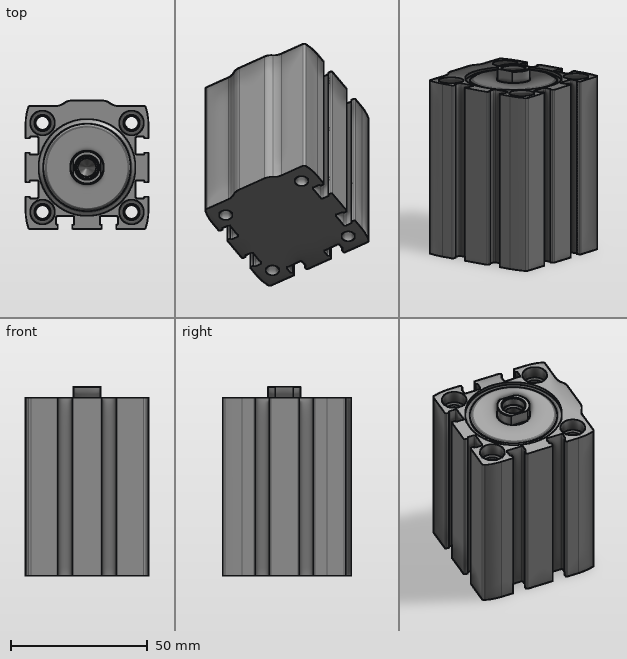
import cadquery as cq
import math

BODY_WIDTH = 45.0
BODY_HEIGHT = 65.0
HALF = BODY_WIDTH / 2
PART_HEIGHT = 69.0

SIDE_FLAT_HALF = 15.5
SIDE_ARC_RADIUS = 21.0
CORNER_FILLET = 1.0

BAND_RISE = 2.0
BAND_TOP_HALF = 5.4
BAND_CREST_RADIUS = 5.0
BAND_FOOT_RADIUS = 5.0

SLOT_SIDES = (-90, 0, 90)
SLOT_OFFSET = 8.0
SLOT_MOUTH = 5.2
SLOT_INNER_WIDTH = 6.5
SLOT_LIP = 1.55
SLOT_DEPTH = 4.75
SLOT_FLOOR_RADIUS = 0.5
SLOT_MOUTH_RADIUS = 0.45

MOUNT_SPACING = 32.5
MOUNT_BORE = 4.92
MOUNT_CHAMFER = 0.55
MOUNT_SEAT_DIAMETER = 9.0
MOUNT_SEAT_DEPTH = 5.0

RECESS_RADIUS = 35.4 / 2
RING_CREST_Z = BODY_HEIGHT - 0.4
RING_EDGE_RADIUS = 0.23
RING_SLOPE = 30.0
GAP_RADIUS = 32.0 / 2
GAP_FOOT_RADIUS = 15.95
CAP_Z = BODY_HEIGHT - 0.2
CAP_FLAT_RADIUS = 14.9
CAP_EDGE_FILLET = 0.5
CAP_SLOPE = 41.0
ROD_BORE_CHAMFER = 0.2

ROD_RADIUS = 12.0 / 2
ROD_BOTTOM_Z = 40.0
ROD_TOP_CHAMFER = 0.2
FLATS_WIDTH = 10.0
FLATS_LENGTH = 4.7
FLATS_RUNOUT = 30.0
THREAD_BORE_RADIUS = 6.65 / 2
THREAD_MAJOR_RADIUS = 8.0 / 2
THREAD_BORE_DEPTH = 14.0
DRILL_POINT_HALF_ANGLE = 59.0
COUNTERBORE_RADIUS = 8.4 / 2
COUNTERBORE_DEPTH = 3.3
MOUTH_RADIUS = 9.0 / 2


def housing_outline():
    """Closed body profile, symmetric about the YZ plane."""
    reach = HALF - SIDE_FLAT_HALF
    drop = SIDE_ARC_RADIUS - math.sqrt(SIDE_ARC_RADIUS**2 - reach**2)
    half_drop = SIDE_ARC_RADIUS - math.sqrt(SIDE_ARC_RADIUS**2 - (reach / 2) ** 2)
    corner_x = HALF - drop
    bow_x = HALF - half_drop
    bow_y = SIDE_FLAT_HALF + reach / 2
    outline = (
        cq.Workplane("XY")
        .moveTo(-corner_x, -HALF)
        .lineTo(corner_x, -HALF)
        .threePointArc((bow_x, -bow_y), (HALF, -SIDE_FLAT_HALF))
        .lineTo(HALF, SIDE_FLAT_HALF)
        .threePointArc((bow_x, bow_y), (corner_x, HALF))
        .lineTo(-corner_x, HALF)
        .threePointArc((-bow_x, bow_y), (-HALF, SIDE_FLAT_HALF))
        .lineTo(-HALF, -SIDE_FLAT_HALF)
        .threePointArc((-bow_x, -bow_y), (-corner_x, -HALF))
        .close()
    )
    return outline.extrude(BODY_HEIGHT).edges("|Z and (>Y or <Y)").fillet(CORNER_FILLET)


def raised_band():
    """Band on the +Y side: flat crest, convex shoulders and concave feet."""
    turn = math.acos(1 - BAND_RISE / (BAND_CREST_RADIUS + BAND_FOOT_RADIUS))

    def crest_point(angle):
        x = BAND_TOP_HALF + BAND_CREST_RADIUS * math.sin(angle)
        return x, HALF + BAND_RISE - BAND_CREST_RADIUS * (1 - math.cos(angle))

    foot_x = BAND_TOP_HALF + (BAND_CREST_RADIUS + BAND_FOOT_RADIUS) * math.sin(turn)

    def foot_point(angle):
        x = foot_x - BAND_FOOT_RADIUS * math.sin(angle)
        return x, HALF + BAND_FOOT_RADIUS * (1 - math.cos(angle))

    def mirrored(point):
        return -point[0], point[1]

    return (
        cq.Workplane("XY")
        .moveTo(-foot_x, 0)
        .lineTo(foot_x, 0)
        .lineTo(foot_x, HALF)
        .threePointArc(foot_point(turn / 2), foot_point(turn))
        .threePointArc(crest_point(turn / 2), crest_point(0))
        .lineTo(-BAND_TOP_HALF, HALF + BAND_RISE)
        .threePointArc(mirrored(crest_point(turn / 2)), mirrored(crest_point(turn)))
        .threePointArc(mirrored(foot_point(turn / 2)), (-foot_x, HALF))
        .close()
        .extrude(BODY_HEIGHT)
    )


def slot_cutter(offset):
    """T-slot that opens on the -Y side, centred on X = offset."""
    mouth = (
        cq.Workplane("XY")
        .box(SLOT_MOUTH, SLOT_DEPTH, BODY_HEIGHT, centered=(True, False, False))
        .translate((offset, -HALF, 0))
    )
    inner = (
        cq.Workplane("XY")
        .box(SLOT_INNER_WIDTH, SLOT_DEPTH - SLOT_LIP, BODY_HEIGHT, centered=(True, False, False))
        .edges("|Z")
        .fillet(SLOT_FLOOR_RADIUS)
        .translate((offset, -HALF + SLOT_LIP, 0))
    )
    return mouth.union(inner)


def cut_slots(body):
    for turn in SLOT_SIDES:
        for offset in (-SLOT_OFFSET, SLOT_OFFSET):
            cutter = slot_cutter(offset).rotate((0, 0, 0), (0, 0, 1), turn)
            body = body.cut(cutter)
    return body


def round_slot_mouths(body):
    """Round the two outer edges of every slot mouth."""
    for turn in SLOT_SIDES:
        angle = math.radians(turn)
        for offset in (-SLOT_OFFSET, SLOT_OFFSET):
            for across in (offset - SLOT_MOUTH / 2, offset + SLOT_MOUTH / 2):
                x = across * math.cos(angle) + HALF * math.sin(angle)
                y = across * math.sin(angle) - HALF * math.cos(angle)
                mouth_edge = cq.NearestToPointSelector((x, y, BODY_HEIGHT / 2))
                body = body.edges(mouth_edge).fillet(SLOT_MOUTH_RADIUS)
    return body


def mount_hole_cutter():
    """Through hole with a chamfered mouth at the floor of a round seat."""
    seat_z = BODY_HEIGHT - MOUNT_SEAT_DEPTH
    bore = MOUNT_BORE / 2
    seat = MOUNT_SEAT_DIAMETER / 2
    return (
        cq.Workplane("XZ")
        .moveTo(0, 0)
        .lineTo(bore, 0)
        .lineTo(bore, seat_z - MOUNT_CHAMFER)
        .lineTo(bore + MOUNT_CHAMFER, seat_z)
        .lineTo(seat, seat_z)
        .lineTo(seat, BODY_HEIGHT)
        .lineTo(0, BODY_HEIGHT)
        .close()
        .revolve(360, (0, 0, 0), (0, 1, 0))
    )


def cut_mount_holes(body):
    cutter = mount_hole_cutter()
    for side_x in (-1, 1):
        for side_y in (-1, 1):
            place = (side_x * MOUNT_SPACING / 2, side_y * MOUNT_SPACING / 2, 0)
            body = body.cut(cutter.translate(place))
    return body


def recess_cutter():
    """Revolved space above the cap, the gap round it and the sloped ring."""
    slope = math.radians(CAP_SLOPE)
    fillet_x = CAP_FLAT_RADIUS + CAP_EDGE_FILLET * math.sin(slope)
    fillet_z = CAP_Z - CAP_EDGE_FILLET * (1 - math.cos(slope))
    fillet_mid_x = CAP_FLAT_RADIUS + CAP_EDGE_FILLET * math.sin(slope / 2)
    fillet_mid_z = CAP_Z - CAP_EDGE_FILLET * (1 - math.cos(slope / 2))
    gap_z = fillet_z - (GAP_FOOT_RADIUS - fillet_x) * math.tan(slope)
    edge_x = GAP_RADIUS + RING_EDGE_RADIUS
    edge_z = RING_CREST_Z - RING_EDGE_RADIUS
    ring_slope = math.radians(RING_SLOPE)
    ring_x = edge_x + RING_EDGE_RADIUS * math.sin(ring_slope)
    ring_z = edge_z + RING_EDGE_RADIUS * math.cos(ring_slope)
    ring_foot_z = ring_z - (RECESS_RADIUS - ring_x) * math.tan(ring_slope)
    return (
        cq.Workplane("XZ")
        .moveTo(0, BODY_HEIGHT)
        .lineTo(0, CAP_Z)
        .lineTo(CAP_FLAT_RADIUS, CAP_Z)
        .threePointArc((fillet_mid_x, fillet_mid_z), (fillet_x, fillet_z))
        .lineTo(GAP_FOOT_RADIUS, gap_z)
        .lineTo(GAP_RADIUS, gap_z)
        .lineTo(GAP_RADIUS, edge_z)
        .threePointArc((edge_x, RING_CREST_Z), (ring_x, ring_z))
        .lineTo(RECESS_RADIUS, ring_foot_z)
        .lineTo(RECESS_RADIUS, BODY_HEIGHT)
        .close()
        .revolve(360, (0, 0, 0), (0, 1, 0))
    )


def rod_bore_cutter():
    """Blind bore for the rod, with a small chamfer where it opens in the cap."""
    return (
        cq.Workplane("XZ")
        .moveTo(0, ROD_BOTTOM_Z)
        .lineTo(ROD_RADIUS, ROD_BOTTOM_Z)
        .lineTo(ROD_RADIUS, CAP_Z - ROD_BORE_CHAMFER)
        .lineTo(ROD_RADIUS + ROD_BORE_CHAMFER, CAP_Z)
        .lineTo(0, CAP_Z)
        .close()
        .revolve(360, (0, 0, 0), (0, 1, 0))
    )


def make_housing():
    body = housing_outline().union(raised_band())
    body = round_slot_mouths(cut_slots(body))
    body = cut_mount_holes(body)
    return body.cut(recess_cutter()).cut(rod_bore_cutter())


def rod_blank():
    return (
        cq.Workplane("XY")
        .workplane(offset=ROD_BOTTOM_Z)
        .circle(ROD_RADIUS)
        .extrude(PART_HEIGHT - ROD_BOTTOM_Z)
        .faces(">Z")
        .chamfer(ROD_TOP_CHAMFER)
    )


def flat_cutter(side):
    """Wrench flat on one X side, ending in a sloped run-out just inside the bore."""
    flat_x = FLATS_WIDTH / 2
    flat_end_z = PART_HEIGHT - FLATS_LENGTH
    run_out = (ROD_RADIUS - flat_x) * math.tan(math.radians(FLATS_RUNOUT))
    return (
        cq.Workplane("XZ")
        .moveTo(side * flat_x, PART_HEIGHT)
        .lineTo(side * flat_x, flat_end_z)
        .lineTo(side * ROD_RADIUS, flat_end_z - run_out)
        .lineTo(side * ROD_RADIUS, PART_HEIGHT)
        .close()
        .extrude(ROD_RADIUS, both=True)
    )


def rod_hole_cutter():
    """Counterbored blind hole with a lead-in chamfer and a conical drill point."""
    counterbore_z = PART_HEIGHT - COUNTERBORE_DEPTH
    mouth_chamfer = MOUTH_RADIUS - COUNTERBORE_RADIUS
    thread_chamfer = THREAD_MAJOR_RADIUS - THREAD_BORE_RADIUS
    bore_end_z = PART_HEIGHT - THREAD_BORE_DEPTH
    point_height = THREAD_BORE_RADIUS / math.tan(math.radians(DRILL_POINT_HALF_ANGLE))
    return (
        cq.Workplane("XZ")
        .moveTo(0, bore_end_z - point_height)
        .lineTo(THREAD_BORE_RADIUS, bore_end_z)
        .lineTo(THREAD_BORE_RADIUS, counterbore_z - thread_chamfer)
        .lineTo(THREAD_MAJOR_RADIUS, counterbore_z)
        .lineTo(COUNTERBORE_RADIUS, counterbore_z)
        .lineTo(COUNTERBORE_RADIUS, PART_HEIGHT - mouth_chamfer)
        .lineTo(MOUTH_RADIUS, PART_HEIGHT)
        .lineTo(0, PART_HEIGHT)
        .close()
        .revolve(360, (0, 0, 0), (0, 1, 0))
    )


def make_rod():
    rod = rod_blank().cut(rod_hole_cutter())
    for side in (-1, 1):
        rod = rod.cut(flat_cutter(side))
    return rod


housing = make_housing()
piston_rod = make_rod()

result = cq.Compound.makeCompound([housing.val(), piston_rod.val()])